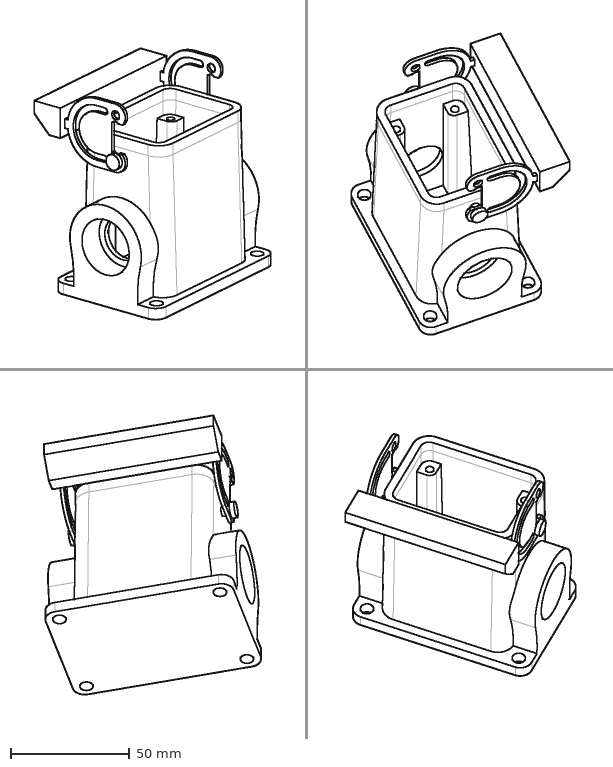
import cadquery as cq
import math

base_length_x = 55.7
base_length_y = 82.0
base_height = 5.1
base_corner_radius = 5.3
mount_hole_diameter = 5.6
mount_hole_spacing_x = 45.0
mount_hole_spacing_y = 70.0

housing_top = 73.8
collar_height = 5.0
collar_bottom = housing_top - collar_height
collar_length_x = 43.2
housing_length_y = 60.0
foot_length_x = 47.4
housing_corner_radius = 7.5
wall = 3.6
cavity_corner_radius = housing_corner_radius - wall

column_size_x = 8.0
column_size_y = 7.65
column_corner_radius = 3.0
column_top = 61.9
screw_hole_diameter = 3.4
screw_spacing_x = 27.0
screw_spacing_y = 43.9

port_height = 27.0
boss_radius = 19.0
boss_foot_width = 34.0
boss_blend_drop = 4.2
bore_diameter = 25.0
bore_depth = 12.0
port_hole_diameter = 19.1

lever_top = 90.0
plate_height = 31.05
plate_mid_z = lever_top - plate_height / 2
plate_arc_x = -10.0
plate_inner_y = 32.5
plate_thickness = 1.5
plate_mid_y = plate_inner_y + plate_thickness / 2
ear_radius = 5.1
pivot_hole_diameter = 4.0
hook_depth = 3.6
relief_drop = 4.9
slot_width = 3.1
slot_mid_radius = 10.9
slot_end_x = -5.85
stem_width = 4.1

overall_length_x = 68.8
bar_left_x = base_length_x / 2 - overall_length_x
bar_width = 13.9
bar_height = 13.8
bar_top = 82.4
bar_chamfer = 7.9
bar_length_y = 74.0

pivot_z = lever_top - plate_height + ear_radius
stud_head_diameter = 7.0
stud_head_thickness = 2.1

SIDES = (-1, 1)


def rounded_section(length_x, length_y, radius):
    """Rounded rectangle as a sketch."""
    return cq.Sketch().rect(length_x, length_y).vertices().fillet(radius)


def drafted_block(inset, corner_radius):
    """Straight collar on a drafted shell, set in from the outer housing faces by inset."""
    length_y = housing_length_y - 2 * inset
    foot_section = rounded_section(foot_length_x - 2 * inset, length_y, corner_radius)
    collar_section = rounded_section(collar_length_x - 2 * inset, length_y, corner_radius)
    shell_height = collar_bottom - base_height
    raised_section = collar_section.moved(cq.Location(cq.Vector(0, 0, shell_height)))
    shell_base = cq.Workplane(origin=(0, 0, base_height))
    shell = shell_base.placeSketch(foot_section, raised_section).loft(ruled=True)
    collar = cq.Workplane(origin=(0, 0, collar_bottom)).placeSketch(collar_section).extrude(collar_height)
    return shell.union(collar, clean=False)


def side_cylinder(z, diameter, near_y, far_y, side):
    """Cylinder along Y at X = 0 between two distances from the middle plane, on the given side."""
    plane = cq.Workplane("XZ", origin=(0, side * near_y, z))
    return plane.circle(diameter / 2).extrude(-side * (far_y - near_y))


def base_plate():
    plate = cq.Workplane().rect(base_length_x, base_length_y).extrude(base_height)
    plate = plate.edges("|Z").fillet(base_corner_radius)
    holes = cq.Workplane().rect(mount_hole_spacing_x, mount_hole_spacing_y, forConstruction=True)
    return plate.cut(holes.vertices().circle(mount_hole_diameter / 2).extrude(base_height))


def entry_boss(side):
    """Round boss whose sides run down to the base in a smooth concave curve."""
    blend_x = math.sqrt(boss_radius**2 - boss_blend_drop**2)
    blend_z = port_height - boss_blend_drop
    tangent = (-boss_blend_drop, -blend_x)
    inner_y = housing_length_y / 2 - housing_corner_radius
    return (
        cq.Workplane("XZ", origin=(0, side * inner_y, 0))
        .moveTo(0, port_height + boss_radius)
        .threePointArc((boss_radius, port_height), (blend_x, blend_z))
        .tangentArcPoint((boss_foot_width / 2, base_height), relative=False)
        .lineTo(0, base_height)
        .mirrorY()
        .extrude(-side * (base_length_y / 2 - inner_y))
    )


def screw_column(side_x, side_y):
    """Column that fills a corner of the cavity, with a screw hole down its full height."""
    height = column_top - base_height
    inner_x = collar_length_x / 2 - wall - column_size_x
    inner_y = housing_length_y / 2 - wall - column_size_y
    outer_x = foot_length_x / 2
    outer_y = housing_length_y / 2
    column = (
        cq.Workplane(origin=((inner_x + outer_x) / 2, (inner_y + outer_y) / 2, base_height))
        .rect(outer_x - inner_x, outer_y - inner_y)
        .extrude(height)
        .edges("|Z and <X and <Y")
        .fillet(column_corner_radius)
    )
    hole = (
        cq.Workplane(origin=(screw_spacing_x / 2, screw_spacing_y / 2, base_height))
        .circle(screw_hole_diameter / 2)
        .extrude(height)
    )
    column = column.cut(hole)
    if side_x < 0:
        column = column.mirror("YZ")
    if side_y < 0:
        column = column.mirror("XZ")
    return column


def make_cavity():
    """Open space inside the housing, less the four screw columns."""
    cavity = drafted_block(wall, cavity_corner_radius)
    for side_x in SIDES:
        for side_y in SIDES:
            cavity = cavity.cut(screw_column(side_x, side_y), clean=False)
    return cavity


def pivot_stud(side):
    """Shaft through the lever plate with a head outside it."""
    shaft_start_y = (housing_length_y - wall) / 2
    plate_outer_y = plate_inner_y + plate_thickness
    head_end_y = plate_outer_y + stud_head_thickness
    shaft = side_cylinder(pivot_z, pivot_hole_diameter, shaft_start_y, plate_outer_y, side)
    head = side_cylinder(pivot_z, stud_head_diameter, plate_outer_y, head_end_y, side)
    return shaft.union(head)


def make_housing():
    body = base_plate()
    for side in SIDES:
        body = body.union(entry_boss(side))
    body = body.union(drafted_block(0, housing_corner_radius), clean=False)
    body = body.cut(make_cavity(), clean=False)
    boss_face_y = base_length_y / 2
    bore_end_y = boss_face_y - bore_depth
    hole_end_y = housing_length_y / 2 - 2 * wall
    for side in SIDES:
        bore = side_cylinder(port_height, bore_diameter, bore_end_y, boss_face_y, side)
        hole = side_cylinder(port_height, port_hole_diameter, hole_end_y, bore_end_y, side)
        body = body.cut(bore, clean=False).cut(hole, clean=False)
        body = body.union(pivot_stud(side), clean=False)
    return body


def plate_slot():
    """Slot along the rounded edge of the lever plate, with round ends."""
    path_length = slot_end_x - plate_arc_x
    path = (
        cq.Workplane("XZ", origin=(plate_arc_x, 0, 0))
        .moveTo(path_length, slot_mid_radius)
        .lineTo(0, slot_mid_radius)
        .threePointArc((-slot_mid_radius, 0), (0, -slot_mid_radius))
        .lineTo(path_length, -slot_mid_radius)
    )
    return path.offset2D(slot_width / 2).extrude(-plate_thickness)


def lever_plate(side):
    """Side plate of the lever: a D shape with two pivot ears."""
    half_height = plate_height / 2
    ear_z = half_height - ear_radius
    notch_z = ear_z - hook_depth
    edge_x = -pivot_hole_diameter / 2
    hook_x = math.sqrt(ear_radius**2 - hook_depth**2)
    ear_side = (ear_radius, ear_z)
    arc_middle = half_height * math.sqrt(0.5)
    plate = (
        cq.Workplane("XZ")
        .moveTo(edge_x, 0)
        .lineTo(edge_x, notch_z)
        .lineTo(hook_x, notch_z)
        .threePointArc(ear_side, (0, half_height))
        .lineTo(plate_arc_x, half_height)
        .threePointArc((plate_arc_x - arc_middle, arc_middle), (plate_arc_x - half_height, 0))
        .mirrorX()
        .extrude(-plate_thickness)
    )
    relief_z = ear_z - relief_drop
    openings = [(0, ear_z), (0, -ear_z), (0, relief_z), (0, -relief_z)]
    plate = plate.cut(
        cq.Workplane("XZ").pushPoints(openings).circle(pivot_hole_diameter / 2).extrude(-plate_thickness)
    )
    plate = plate.cut(plate_slot())
    return plate.translate((0, side * plate_mid_y - plate_thickness / 2, plate_mid_z))


def lever_stem(side):
    """Short neck between a side plate and the handle bar."""
    start_x = bar_left_x + bar_width
    end_x = plate_arc_x - slot_mid_radius - slot_width
    stem = cq.Workplane().box(end_x - start_x, plate_thickness, stem_width)
    return stem.translate(((start_x + end_x) / 2, side * plate_mid_y, plate_mid_z))


def handle_bar():
    """Bar along Y with its lower outer edge cut off at 45 degrees."""
    bar = (
        cq.Workplane()
        .box(bar_width, bar_length_y, bar_height, centered=(False, True, False))
        .edges("|Y and <X and <Z")
        .chamfer(bar_chamfer)
    )
    return bar.translate((bar_left_x, 0, bar_top - bar_height))


def make_lever():
    lever = handle_bar()
    for side in SIDES:
        lever = lever.union(lever_stem(side)).union(lever_plate(side))
    return lever


housing = make_housing()
lever = make_lever()
result = cq.Compound.makeCompound([housing.solids().val(), lever.solids().val()])